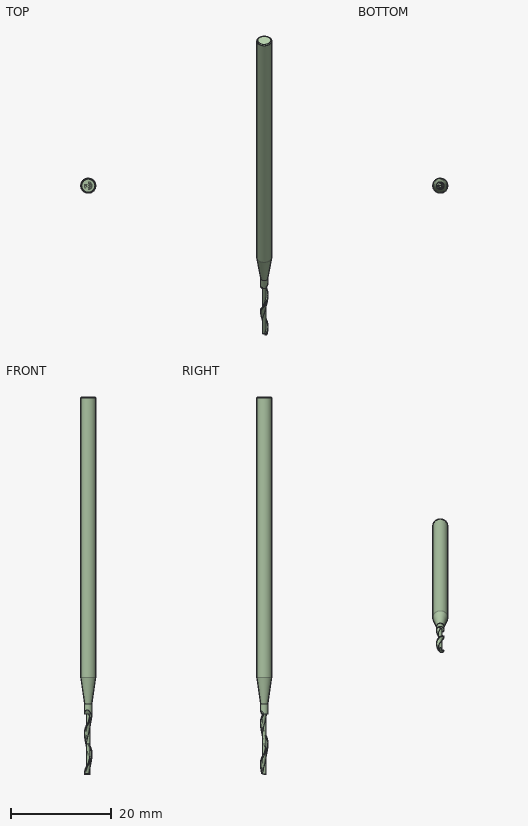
import cadquery as cq
import math

total_length = 75.0
shank_start = 19.3
cone_start = 14.0
flute_length = 12.0

shank_diameter = 3.0
cone_end_diameter = 1.45
cutting_diameter = 1.5
core_diameter = 0.72
shank_chamfer = 0.2

helix_angle = 30.0
helix_pitch = math.pi * cutting_diameter / math.tan(math.radians(helix_angle))
edge_angle = 170.0
land_angle = 20.0
back_angle = 112.0
back_bulge_radius = 0.6
end_clearance = 18.0

runout_depth = 0.45
runout_height = 0.8
runout_turn = -18.0

shank_radius = shank_diameter / 2
cutting_radius = cutting_diameter / 2
core_radius = core_diameter / 2


def polar(radius, angle):
    """Point at the given radius and angle in degrees."""
    return (radius * math.cos(math.radians(angle)), radius * math.sin(math.radians(angle)))


def make_shank():
    """Round shank with a chamfered top and a cone down to the cutter."""
    profile = (
        cq.Workplane("XZ")
        .moveTo(0, cone_start)
        .lineTo(cone_end_diameter / 2, cone_start)
        .lineTo(shank_radius, shank_start)
        .lineTo(shank_radius, total_length - shank_chamfer)
        .lineTo(shank_radius - shank_chamfer, total_length)
        .lineTo(0, total_length)
        .close()
    )
    return profile.revolve(360, (0, 0, 0), (0, 1, 0))


def make_tooth():
    """Core with one tooth, twisted along the flute length."""
    land_end = edge_angle + land_angle
    back_foot = edge_angle + back_angle
    back_middle = (land_end + back_foot) / 2
    core_middle = (back_foot + edge_angle + 360) / 2
    section = (
        cq.Workplane("XY")
        .moveTo(*polar(core_radius, edge_angle))
        .lineTo(*polar(cutting_radius, edge_angle))
        .threePointArc(polar(cutting_radius, edge_angle + land_angle / 2), polar(cutting_radius, land_end))
        .threePointArc(polar(back_bulge_radius, back_middle), polar(core_radius, back_foot))
        .threePointArc(polar(core_radius, core_middle), polar(core_radius, edge_angle))
        .close()
    )
    return section.twistExtrude(flute_length, 360 * flute_length / helix_pitch)


def make_runout():
    """Wedge removed from the lower edge of the neck above the flute."""
    wedge = (
        cq.Workplane("YZ")
        .moveTo(-cutting_radius, flute_length)
        .lineTo(-cutting_radius + runout_depth, flute_length)
        .lineTo(-cutting_radius, flute_length + runout_height)
        .close()
        .extrude(cutting_radius, both=True)
    )
    return wedge.rotate((0, 0, 0), (0, 0, 1), runout_turn)


def make_end_relief():
    """Wedge removed from the tip on the -Y side, behind the end cutting edge."""
    relief_height = cutting_radius * math.tan(math.radians(end_clearance))
    return (
        cq.Workplane("YZ")
        .lineTo(-cutting_radius, 0)
        .lineTo(-cutting_radius, relief_height)
        .close()
        .extrude(cutting_radius, both=True)
    )


def make_cutter():
    """Plain neck with the helical cutting part below it."""
    neck = cq.Workplane("XY").workplane(offset=flute_length).circle(cutting_radius)
    neck = neck.extrude(cone_start - flute_length)
    return neck.cut(make_runout()).union(make_tooth()).cut(make_end_relief())


shank = make_shank()
cutter = make_cutter()

result = cq.Compound.makeCompound([shank.val(), cutter.val()])